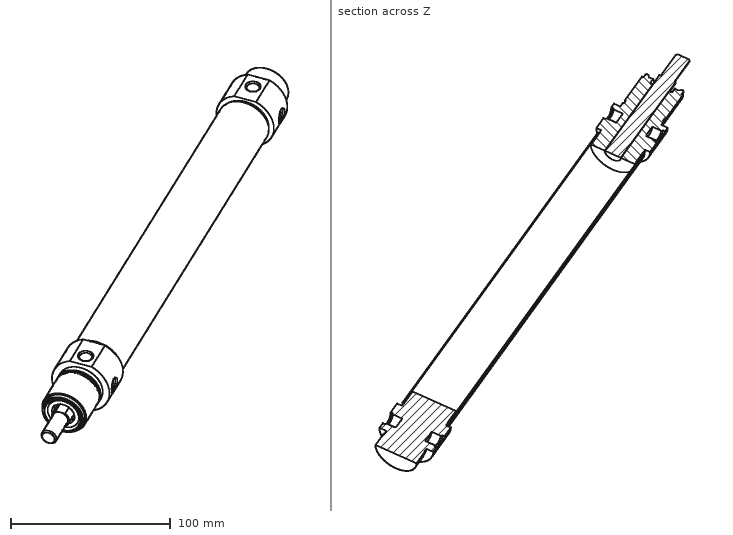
import cadquery as cq
import math

LENGTH = 364.0

ROD_RADIUS = 12.0 / 2
ROD_THREAD_RADIUS = 5.0
ROD_THREAD_LENGTH = 20.0
ROD_TIP_CHAMFER = 0.9
WRENCH_FLAT_HEIGHT = ROD_THREAD_RADIUS

HEAD_RADIUS = 39.0 / 2
HEAD_HEIGHT = 37.5
HEAD_LENGTH = 22.5
NECK_LENGTH = 2.2
SPIGOT_INSERTION = 11.0

COLLAR_RADIUS = 15.0
NOSE_Y = 23.3
FRONT_HEAD_Y = 54.0
NOSE_STEP_RADIUS = 14.0
NOSE_STEP_LENGTH = 3.3
NOSE_EDGE_CHAMFER = 0.7
UNDERCUT_RADIUS = 14.2
UNDERCUT_START_Y = 48.5
UNDERCUT_LENGTH = 2.2
REAR_COLLAR_LENGTH = 13.0
REAR_UNDERCUT_LENGTH = 2.2
REAR_UNDERCUT_RADIUS = 14.5
REAR_UNDERCUT_BEVEL_LENGTH = 1.0

CONE_MOUTH_RADIUS = 12.0
CONE_FLOOR_RADIUS = 10.5
CONE_DEPTH = 1.5
ROD_RECESS_RADIUS = 7.5
ROD_RECESS_DEPTH = 3.5

TUBE_RADIUS = 34.0 / 2
TUBE_BORE_RADIUS = 16.0

HOLE_RADIUS = 4.0
HOLE_MOUTH_RADIUS = 10.0 / 2
HOLE_MOUTH_DEPTH = HOLE_MOUTH_RADIUS - HOLE_RADIUS
HOLE_DEPTH = 7.3
FRONT_HOLES_Y = 62.2
REAR_HOLES_Y = LENGTH - 22.5
PASSAGE_RADIUS = 1.65
DRILL_POINT_ANGLE = 118.0

HEAD_FLAT_HEIGHT = HEAD_HEIGHT - HEAD_RADIUS
HEAD_FLAT_HALF_WIDTH = math.sqrt(HEAD_RADIUS**2 - HEAD_FLAT_HEIGHT**2)

FRONT_HEAD_END_Y = FRONT_HEAD_Y + HEAD_LENGTH
TUBE_START_Y = FRONT_HEAD_END_Y + NECK_LENGTH
FRONT_SPIGOT_END_Y = TUBE_START_Y + SPIGOT_INSERTION
REAR_HEAD_END_Y = LENGTH - REAR_COLLAR_LENGTH
REAR_HEAD_Y = REAR_HEAD_END_Y - HEAD_LENGTH
TUBE_END_Y = REAR_HEAD_Y - NECK_LENGTH
REAR_SPIGOT_START_Y = TUBE_END_Y - SPIGOT_INSERTION
RECESS_FLOOR_Y = NOSE_Y + CONE_DEPTH + ROD_RECESS_DEPTH


def turned(profile):
    """Solid turned around the Y axis from (radius, y) corners."""
    return cq.Workplane("XY").polyline(profile).close().revolve(360, (0, 0, 0), (0, 1, 0))


def cylinder_y(radius, start_y, end_y):
    """Solid cylinder on the Y axis between two Y positions."""
    return turned([(0, start_y), (radius, start_y), (radius, end_y), (0, end_y)])


def head_block(start_y):
    """Round block of a head, with a flat cut along its top."""
    return (
        cq.Workplane("XZ", origin=(0, start_y, 0))
        .moveTo(-HEAD_FLAT_HALF_WIDTH, HEAD_FLAT_HEIGHT)
        .lineTo(HEAD_FLAT_HALF_WIDTH, HEAD_FLAT_HEIGHT)
        .threePointArc((0, -HEAD_RADIUS), (-HEAD_FLAT_HALF_WIDTH, HEAD_FLAT_HEIGHT))
        .close()
        .extrude(-HEAD_LENGTH)
    )


def bevelled_hole(drill_point):
    """Cutter for a blind hole down from Z = 0, with a bevelled mouth and a flat or conical floor."""
    point_depth = HOLE_RADIUS / math.tan(math.radians(DRILL_POINT_ANGLE / 2)) if drill_point else 0.0
    cutter = (
        cq.Workplane("XZ")
        .lineTo(HOLE_MOUTH_RADIUS, 0)
        .lineTo(HOLE_RADIUS, -HOLE_MOUTH_DEPTH)
        .lineTo(HOLE_RADIUS, -HOLE_DEPTH)
        .lineTo(0, -HOLE_DEPTH - point_depth)
        .close()
        .revolve(360, (0, 0, 0), (0, 1, 0))
    )
    margin = cq.Workplane("XY").circle(HOLE_MOUTH_RADIUS).extrude(HEAD_RADIUS - HEAD_FLAT_HEIGHT)
    return cutter.union(margin)


def cut_port_and_side_holes(head, holes_y, drill_point):
    """Cut the air port in the top flat and one mounting hole in each side."""
    head = head.cut(bevelled_hole(drill_point).translate((0, holes_y, HEAD_FLAT_HEIGHT)))
    for side_angle in (90, -90):
        side_hole = (
            bevelled_hole(False)
            .translate((0, holes_y, HEAD_FLAT_HEIGHT))
            .rotate((0, 0, 0), (0, 1, 0), side_angle)
        )
        head = head.cut(side_hole)
    return head


def make_piston_rod():
    rod = turned([
        (0, 0),
        (ROD_THREAD_RADIUS - ROD_TIP_CHAMFER, 0),
        (ROD_THREAD_RADIUS, ROD_TIP_CHAMFER),
        (ROD_THREAD_RADIUS, ROD_THREAD_LENGTH),
        (ROD_RADIUS, ROD_THREAD_LENGTH),
        (ROD_RADIUS, FRONT_SPIGOT_END_Y),
        (0, FRONT_SPIGOT_END_Y),
    ])
    flat_length = RECESS_FLOOR_Y - ROD_THREAD_LENGTH
    for side in (1, -1):
        waste = cq.Workplane("XY").box(2 * ROD_RADIUS, flat_length, ROD_RADIUS)
        waste_z = side * (WRENCH_FLAT_HEIGHT + ROD_RADIUS / 2)
        rod = rod.cut(waste.translate((0, ROD_THREAD_LENGTH + flat_length / 2, waste_z)))
    return rod


def make_front_head():
    step_end_y = NOSE_Y + NOSE_STEP_LENGTH
    undercut_end_y = UNDERCUT_START_Y + UNDERCUT_LENGTH
    cone_floor_y = NOSE_Y + CONE_DEPTH
    collar = turned([
        (CONE_MOUTH_RADIUS, NOSE_Y),
        (NOSE_STEP_RADIUS - NOSE_EDGE_CHAMFER, NOSE_Y),
        (NOSE_STEP_RADIUS, NOSE_Y + NOSE_EDGE_CHAMFER),
        (NOSE_STEP_RADIUS, step_end_y),
        (COLLAR_RADIUS, step_end_y),
        (COLLAR_RADIUS, UNDERCUT_START_Y),
        (UNDERCUT_RADIUS, UNDERCUT_START_Y),
        (UNDERCUT_RADIUS, undercut_end_y),
        (COLLAR_RADIUS, undercut_end_y),
        (COLLAR_RADIUS, FRONT_HEAD_Y),
        (ROD_RADIUS, FRONT_HEAD_Y),
        (ROD_RADIUS, RECESS_FLOOR_Y),
        (ROD_RECESS_RADIUS, RECESS_FLOOR_Y),
        (ROD_RECESS_RADIUS, cone_floor_y),
        (CONE_FLOOR_RADIUS, cone_floor_y),
    ])
    spigot = cylinder_y(TUBE_BORE_RADIUS, FRONT_HEAD_END_Y, FRONT_SPIGOT_END_Y)
    rod_bore = cylinder_y(ROD_RADIUS, FRONT_HEAD_Y, FRONT_SPIGOT_END_Y)
    head = head_block(FRONT_HEAD_Y).union(spigot).cut(rod_bore).union(collar)
    head = cut_port_and_side_holes(head, FRONT_HOLES_Y, drill_point=False)
    passage = (
        cq.Workplane("XY", origin=(0, FRONT_HOLES_Y, 0))
        .circle(PASSAGE_RADIUS)
        .extrude(HEAD_FLAT_HEIGHT)
    )
    return head.cut(passage)


def make_rear_head():
    undercut_end_y = REAR_HEAD_END_Y + REAR_UNDERCUT_LENGTH
    collar = turned([
        (0, REAR_HEAD_END_Y),
        (REAR_UNDERCUT_RADIUS, REAR_HEAD_END_Y),
        (REAR_UNDERCUT_RADIUS, undercut_end_y),
        (COLLAR_RADIUS, undercut_end_y + REAR_UNDERCUT_BEVEL_LENGTH),
        (COLLAR_RADIUS, LENGTH),
        (0, LENGTH),
    ])
    spigot = cylinder_y(TUBE_BORE_RADIUS, REAR_SPIGOT_START_Y, REAR_HEAD_Y)
    head = head_block(REAR_HEAD_Y).union(spigot).union(collar)
    return cut_port_and_side_holes(head, REAR_HOLES_Y, drill_point=True)


def make_tube():
    return turned([
        (TUBE_BORE_RADIUS, TUBE_START_Y),
        (TUBE_RADIUS, TUBE_START_Y),
        (TUBE_RADIUS, TUBE_END_Y),
        (TUBE_BORE_RADIUS, TUBE_END_Y),
    ])


piston_rod = make_piston_rod()
front_head = make_front_head()
rear_head = make_rear_head()
tube = make_tube()

result = cq.Compound.makeCompound([piston_rod.val(), front_head.val(), rear_head.val(), tube.val()])